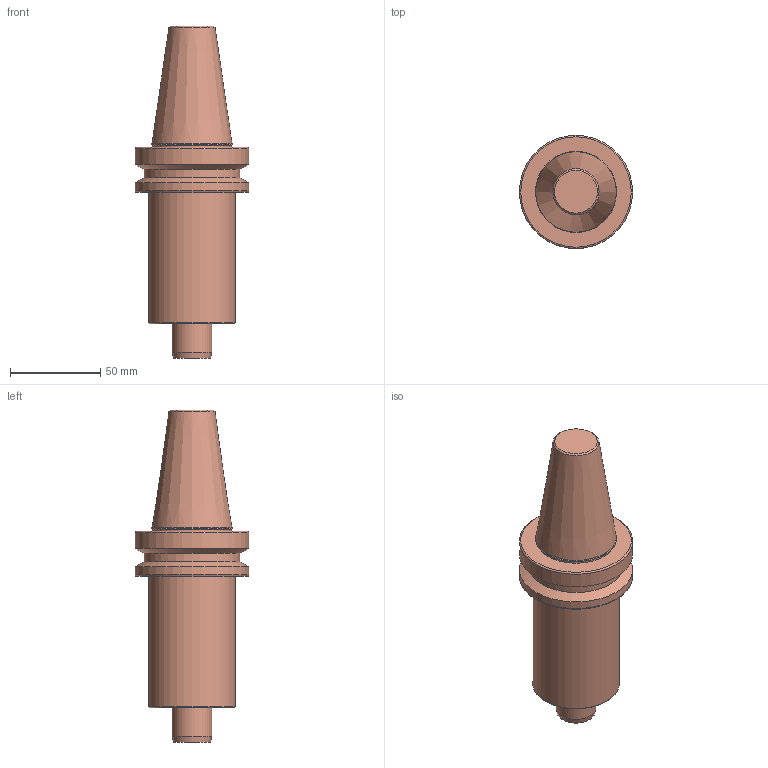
import cadquery as cq
import math


gauge_diameter = 44.45
taper_length = 65.4
taper_ratio = 7 / 24
shank_end_chamfer = 0.8
ridge_height = 1.0
ridge_diameter = 45.0
relief_diameter = 44.0

flange_diameter = 62.95
flange_top_z = -2.0
flange_bottom_z = -27.0
flange_edge_radius = 0.8

groove_diameter = 53.0
groove_center_z = -16.55
groove_floor_width = 4.5
groove_flank_angle = 30.0

body_diameter = 48.0
body_bottom_z = -100.0
body_chamfer = 0.5
pilot_diameter = 22.0
pilot_length = 19.0
pilot_lead_length = 3.0
pilot_lead_depth = 0.6


def revolve_profile(points):
    """Solid of revolution about Z from (radius, z) points; the axis closes the outline."""
    return cq.Workplane("XZ").polyline(points).close().revolve(360, (0, 0, 0), (0, 1, 0))


def make_shank():
    gauge_radius = gauge_diameter / 2
    ridge_radius = ridge_diameter / 2
    relief_radius = relief_diameter / 2
    end_radius = gauge_radius - taper_length * taper_ratio / 2
    chamfer_radius = end_radius + shank_end_chamfer * taper_ratio / 2
    return revolve_profile([
        (0, flange_top_z),
        (relief_radius, flange_top_z),
        (relief_radius, -ridge_height),
        (ridge_radius, -ridge_height / 2),
        (gauge_radius, 0),
        (chamfer_radius, taper_length - shank_end_chamfer),
        (end_radius - shank_end_chamfer, taper_length),
        (0, taper_length),
    ])


def make_flange():
    thickness = flange_top_z - flange_bottom_z
    blank = (
        cq.Workplane("XY", origin=(0, 0, flange_bottom_z))
        .circle(flange_diameter / 2)
        .extrude(thickness)
        .edges()
        .fillet(flange_edge_radius)
    )
    return blank.cut(make_groove_ring())


def make_groove_ring():
    outer_radius = flange_diameter / 2
    floor_radius = groove_diameter / 2
    half_floor = groove_floor_width / 2
    flank_height = (outer_radius - floor_radius) * math.tan(math.radians(groove_flank_angle))
    half_mouth = half_floor + flank_height
    return revolve_profile([
        (floor_radius, groove_center_z - half_floor),
        (outer_radius, groove_center_z - half_mouth),
        (outer_radius, groove_center_z + half_mouth),
        (floor_radius, groove_center_z + half_floor),
    ])


def make_body():
    return (
        cq.Workplane("XY", origin=(0, 0, body_bottom_z))
        .circle(body_diameter / 2)
        .extrude(flange_bottom_z - body_bottom_z)
        .faces("<Z")
        .edges()
        .chamfer(body_chamfer)
    )


def make_pilot():
    return (
        cq.Workplane("XY", origin=(0, 0, body_bottom_z - pilot_length))
        .circle(pilot_diameter / 2)
        .extrude(pilot_length)
        .faces("<Z")
        .chamfer(pilot_lead_length, pilot_lead_depth)
    )


result = make_shank().union(make_flange()).union(make_body()).union(make_pilot())